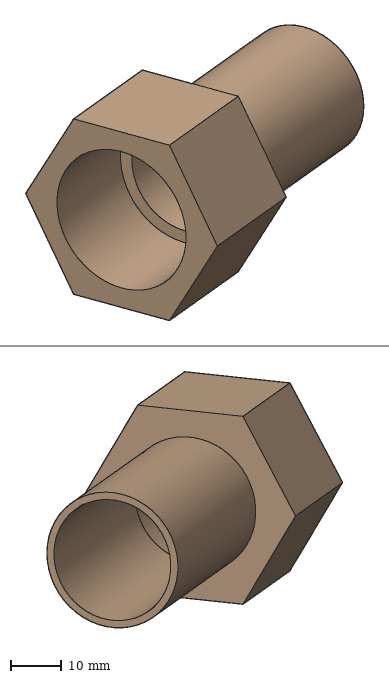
import cadquery as cq
import math

total_length = 69.0
hex_length = 26.0
hex_across_flats = 39.0
tube_diameter = 28.0
bore_diameter = 25.0
socket_diameter = 30.3
shoulder_thickness = 2.0

socket_depth = hex_length - shoulder_thickness

hex_across_corners = hex_across_flats / math.cos(math.pi / 6)


def cylinder_along_y(diameter, length):
    """Cylinder on the Y axis, from the open hexagon face at Y = 0 towards +Y."""
    return cq.Workplane("XZ").circle(diameter / 2).extrude(-length)


head = cq.Workplane("XZ").polygon(6, hex_across_corners).extrude(-hex_length)

tube = cylinder_along_y(tube_diameter, total_length)

bore = cylinder_along_y(bore_diameter, total_length)
socket = cylinder_along_y(socket_diameter, socket_depth)

result = head.union(tube).cut(bore).cut(socket)